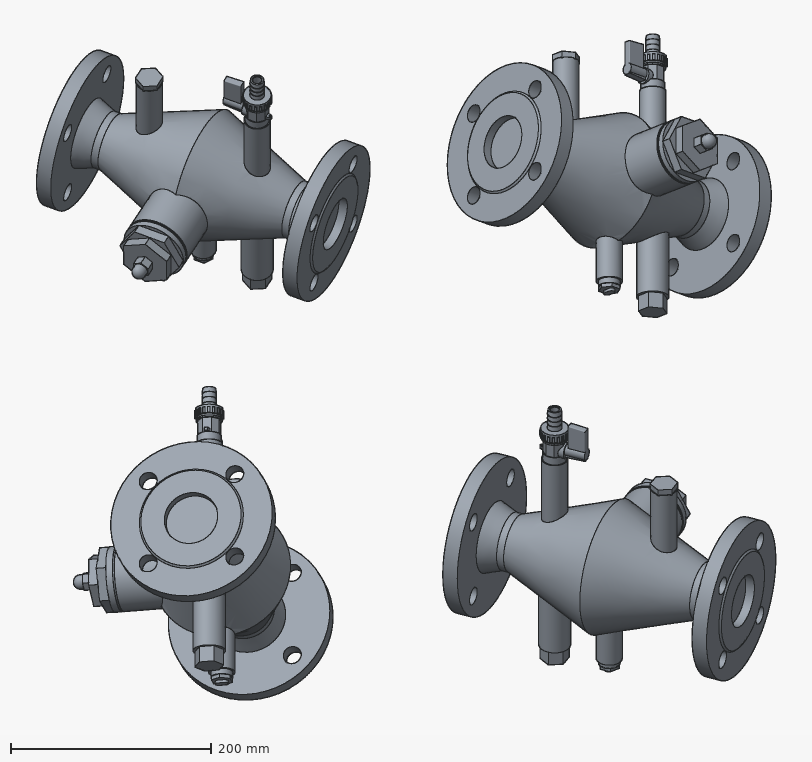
import cadquery as cq
import math


HEX_SIDES = 6
HEX_HALF_TURN = 180 / HEX_SIDES
OCTAGON_SIDES = 8
OCTAGON_HALF_TURN = 180 / OCTAGON_SIDES

LENGTH = 294.0
RAISED_FACE_H = 1.93
RAISED_FACE_BASE_D = 106.2
RAISED_FACE_TOP_D = 102.3
FLANGE_D = 165.0
FLANGE_T = 16.0
HUB_D = 75.0
NECK_D = 60.5
NECK_OUTER_X = 110.0
NECK_INNER_X = 102.3
BELLY_D = 140.5
PORT_D = 54.5
PORT_DEPTH = 9.5
BOLT_HOLE_D = 18.0
BOLT_CIRCLE_D = 125.0
BOLT_COUNT = 4

BOSS_D = 66.0
BOSS_END = 103.0
BOSS_GROOVE_W = 1.8
BOSS_GROOVE_DEPTH = 1.0
COLLAR_END = 111.5
LARGE_HEX_END = 121.3
MIDDLE_HEX_END = 131.0
MIDDLE_HEX_FLATS = 48.0
SMALL_HEX_END = 140.7
SMALL_HEX_FLATS = 16.5
DOME_D = 15.0
OVERALL_WIDTH = 234.0
DOME_END = OVERALL_WIDTH - FLANGE_D / 2

POST_D = 26.5
POST_X = 60.0
PLUG_POST_TOP = 111.0
PLUG_FLATS = 24.0
PLUG_BOTTOM = 110.0
PLUG_TOP = 117.2
COCK_POST_TOP = 113.3
LOWER_POSTS_BOTTOM = -109.0
DRAIN_POST_D = 32.5
DRAIN_HEX_FLATS = 25.5
DRAIN_HEX_BOTTOM = -125.2
VENT_SHOULDER_D = 22.0
VENT_SHOULDER_BOTTOM = -114.5
VENT_HEX_BOTTOM = -118.5
VENT_TIP_L = 13.5
VENT_TIP_W = 7.0
VENT_TIP_BOTTOM = -121.3

COCK_BASE_D = 24.0
COCK_BASE_TOP = 122.0
OCTAGON_FLATS = 22.0
OCTAGON_TOP = 137.5
COCK_FLANGE_D = 26.2
COCK_FLANGE_TOP = 139.2
COCK_NECK_D = 25.0
NUT_BOTTOM = 141.3
NUT_D = 28.0
NUT_TOP = 150.2
KNURL_COUNT = 18
KNURL_TIP_D = 29.7
KNURL_W = 2.5
KNURL_TOP = 147.5
HOSE_TOP = 172.2
HOSE_NECK_D = 13.5
HOSE_BARB_D = 15.0
BARB_LAND = 1.0
HOSE_BORE_D = 9.0
HOSE_MOUTH_D = 10.0
BARB_COUNT = 4
STEM_Z = 126.0
STEM_BOSS_D = 16.7
STEM_BOSS_X = 46.7
HANDLE_LEFT_X = 24.7
HANDLE_PLATE_RIGHT_X = 43.7
HANDLE_PLATE_W = 7.7
HANDLE_BOTTOM = 120.5
HANDLE_TOP = 158.2
HANDLE_DRAFT = 1.2
HANDLE_EDGE_R = 1.0
BARREL_D = 12.0
BARREL_Z = 127.5
LUG_TIP_D = 4.0
LUG_HOLE_D = 2.0
LUG_REACH = 16.0
LUG_ROOT_W = 15.0
LUG_BOTTOM = COCK_BASE_TOP
LUG_T = 3.3


def cylinder_z(diameter, bottom, top, x):
    """Vertical cylinder at the place x on the pipe axis."""
    return cq.Workplane("XY", origin=(x, 0, bottom)).circle(diameter / 2).extrude(top - bottom)


def prism_z(sides, flats, bottom, top, x, turn):
    """Vertical regular prism; turn is the angle of one corner from the X axis."""
    corner_d = flats / math.cos(math.pi / sides)
    prism = cq.Workplane("XY").polygon(sides, corner_d).extrude(top - bottom)
    return prism.rotate((0, 0, 0), (0, 0, 1), turn).translate((x, 0, bottom))


def cylinder_y(diameter, start, end):
    """Cylinder on the boss axis, between two distances towards -Y."""
    return cq.Workplane("XZ", origin=(0, -start, 0)).circle(diameter / 2).extrude(end - start)


def hex_y(flats, start, end, turn):
    """Hexagon on the boss axis; turn is the angle of one corner from the X axis."""
    corner_d = flats / math.cos(math.pi / HEX_SIDES)
    prism = cq.Workplane("XZ", origin=(0, -start, 0)).polygon(HEX_SIDES, corner_d).extrude(end - start)
    return prism.rotate((0, 0, 0), (0, 1, 0), turn)


def flanged_pipe():
    """Double-cone pipe with weld-neck flanges and a blind round port at each end."""
    half = LENGTH / 2
    flange_outer = half - RAISED_FACE_H
    flange_inner = flange_outer - FLANGE_T
    right_outline = [
        (0, BELLY_D / 2),
        (NECK_INNER_X, NECK_D / 2),
        (NECK_OUTER_X, NECK_D / 2),
        (flange_inner, HUB_D / 2),
        (flange_inner, FLANGE_D / 2),
        (flange_outer, FLANGE_D / 2),
        (flange_outer, RAISED_FACE_BASE_D / 2),
        (half, RAISED_FACE_TOP_D / 2),
        (half, 0),
    ]
    right_half = (
        cq.Workplane("XY").moveTo(0, 0).polyline(right_outline, includeCurrent=True).close()
        .revolve(360, (0, 0, 0), (1, 0, 0))
    )
    port = cq.Workplane("YZ", origin=(half - PORT_DEPTH, 0, 0)).circle(PORT_D / 2).extrude(PORT_DEPTH)
    bolt_holes = (
        cq.Workplane("YZ", origin=(flange_inner, 0, 0))
        .polarArray(BOLT_CIRCLE_D / 2, 180 / BOLT_COUNT, 360, BOLT_COUNT)
        .circle(BOLT_HOLE_D / 2).extrude(FLANGE_T)
    )
    right_half = right_half.cut(port).cut(bolt_holes)
    return right_half.union(right_half.mirror("YZ"))


def access_boss():
    groove_end = BOSS_END + BOSS_GROOVE_W
    groove_d = BOSS_D - 2 * BOSS_GROOVE_DEPTH
    boss = cylinder_y(BOSS_D, 0, BOSS_END)
    boss = boss.union(cylinder_y(groove_d, BOSS_END, groove_end))
    boss = boss.union(cylinder_y(BOSS_D, groove_end, COLLAR_END))
    large_hex_flats = BOSS_D * math.cos(math.pi / HEX_SIDES)
    boss = boss.union(hex_y(large_hex_flats, COLLAR_END, LARGE_HEX_END, 0))
    boss = boss.union(hex_y(MIDDLE_HEX_FLATS, LARGE_HEX_END, MIDDLE_HEX_END, HEX_HALF_TURN))
    boss = boss.union(hex_y(SMALL_HEX_FLATS, MIDDLE_HEX_END, SMALL_HEX_END, HEX_HALF_TURN))
    dome_center = DOME_END - DOME_D / 2
    boss = boss.union(cylinder_y(DOME_D, SMALL_HEX_END, dome_center))
    return boss.union(cq.Workplane("XY", origin=(0, -dome_center, 0)).sphere(DOME_D / 2))


def plug_post():
    post = cylinder_z(POST_D, 0, PLUG_POST_TOP, -POST_X)
    return post.union(prism_z(HEX_SIDES, PLUG_FLATS, PLUG_BOTTOM, PLUG_TOP, -POST_X, HEX_HALF_TURN))


def drain_post():
    post = cylinder_z(DRAIN_POST_D, LOWER_POSTS_BOTTOM, 0, POST_X)
    hexagon = prism_z(
        HEX_SIDES, DRAIN_HEX_FLATS, DRAIN_HEX_BOTTOM, LOWER_POSTS_BOTTOM, POST_X, HEX_HALF_TURN
    )
    return post.union(hexagon)


def vent_post():
    hex_flats = VENT_SHOULDER_D * math.cos(math.pi / HEX_SIDES)
    post = cylinder_z(POST_D, LOWER_POSTS_BOTTOM, 0, 0)
    post = post.union(cylinder_z(VENT_SHOULDER_D, VENT_SHOULDER_BOTTOM, LOWER_POSTS_BOTTOM, 0))
    post = post.union(prism_z(HEX_SIDES, hex_flats, VENT_HEX_BOTTOM, VENT_SHOULDER_BOTTOM, 0, 0))
    tip = (
        cq.Workplane("XY", origin=(0, 0, VENT_TIP_BOTTOM)).slot2D(VENT_TIP_L, VENT_TIP_W, 90)
        .extrude(VENT_HEX_BOTTOM - VENT_TIP_BOTTOM)
    )
    return post.union(tip)


def make_housing():
    housing = flanged_pipe().union(access_boss())
    housing = housing.union(plug_post()).union(drain_post()).union(vent_post())
    return housing.union(cylinder_z(POST_D, 0, COCK_POST_TOP, POST_X))


def cock_body():
    body = cylinder_z(COCK_BASE_D, COCK_POST_TOP, COCK_BASE_TOP, POST_X)
    octagon = prism_z(
        OCTAGON_SIDES, OCTAGON_FLATS, COCK_BASE_TOP, OCTAGON_TOP, POST_X, OCTAGON_HALF_TURN
    )
    body = body.union(octagon)
    body = body.union(cylinder_z(COCK_FLANGE_D, OCTAGON_TOP, COCK_FLANGE_TOP, POST_X))
    return body.union(cylinder_z(COCK_NECK_D, COCK_FLANGE_TOP, NUT_BOTTOM, POST_X))


def knurled_nut():
    """Cap nut with grip ribs around its lower part; one rib points to +Y."""
    nut = cylinder_z(NUT_D, NUT_BOTTOM, NUT_TOP, POST_X)
    rib_size = (KNURL_W, KNURL_TIP_D / 2, KNURL_TOP - NUT_BOTTOM)
    rib = cq.Workplane("XY").box(*rib_size, centered=(True, False, False))
    for i in range(KNURL_COUNT):
        turned_rib = rib.rotate((0, 0, 0), (0, 0, 1), i * 360 / KNURL_COUNT)
        nut = nut.union(turned_rib.translate((POST_X, 0, NUT_BOTTOM)))
    return nut


def hose_tail():
    """Hollow tail with saw-tooth barbs that widen downwards."""
    pitch = (HOSE_TOP - NUT_TOP) / BARB_COUNT
    neck_r = HOSE_NECK_D / 2
    barb_r = HOSE_BARB_D / 2
    bore_r = HOSE_BORE_D / 2
    mouth_r = HOSE_MOUTH_D / 2
    mouth_depth = mouth_r - bore_r
    outline = cq.Workplane("XZ").moveTo(bore_r, NUT_TOP)
    for i in range(BARB_COUNT):
        barb_bottom = NUT_TOP + i * pitch
        outline = outline.lineTo(barb_r, barb_bottom).lineTo(barb_r, barb_bottom + BARB_LAND)
        outline = outline.lineTo(neck_r, barb_bottom + pitch)
    outline = outline.lineTo(mouth_r, HOSE_TOP).lineTo(bore_r, HOSE_TOP - mouth_depth)
    tail = outline.close().revolve(360, (0, 0, 0), (0, 1, 0))
    return tail.translate((POST_X, 0, 0))


def handle():
    """Drafted grip plate with a barrel along its lower edge, on a round stem boss."""
    barrel_length = STEM_BOSS_X - HANDLE_LEFT_X
    barrel = (
        cq.Workplane("YZ", origin=(HANDLE_LEFT_X, 0, BARREL_Z)).circle(BARREL_D / 2)
        .extrude(barrel_length)
    )
    barrel_bottom = BARREL_Z - BARREL_D / 2
    barrel_clip_z = BARREL_Z - math.sqrt(BARREL_D ** 2 - HANDLE_PLATE_W ** 2) / 2
    clip_size = (barrel_length, BARREL_D, barrel_clip_z - barrel_bottom)
    barrel_clip = (
        cq.Workplane("XY", origin=(HANDLE_LEFT_X, 0, barrel_bottom))
        .box(*clip_size, centered=(False, True, False))
    )
    plate_outline = [
        (HANDLE_LEFT_X, HANDLE_BOTTOM + HANDLE_DRAFT),
        (STEM_BOSS_X, HANDLE_BOTTOM),
        (STEM_BOSS_X, BARREL_Z),
        (HANDLE_PLATE_RIGHT_X, BARREL_Z),
        (HANDLE_PLATE_RIGHT_X, HANDLE_TOP),
        (HANDLE_LEFT_X, HANDLE_TOP - HANDLE_DRAFT),
    ]
    plate = (
        cq.Workplane("XZ").polyline(plate_outline).close().extrude(HANDLE_PLATE_W / 2, both=True)
        .faces("<X or >Z").edges("not |Y").fillet(HANDLE_EDGE_R)
    )
    stem_boss = (
        cq.Workplane("YZ", origin=(STEM_BOSS_X, 0, STEM_Z)).circle(STEM_BOSS_D / 2)
        .extrude(POST_X - STEM_BOSS_X)
    )
    return barrel.cut(barrel_clip).union(plate).union(stem_boss)


def sealing_lug():
    """Tapered lug with a rounded tip and a small wire hole."""
    tip_r = LUG_TIP_D / 2
    tip_x = LUG_REACH - tip_r
    lug = (
        cq.Workplane("XY").moveTo(0, -LUG_ROOT_W / 2).lineTo(tip_x, -tip_r)
        .threePointArc((LUG_REACH, 0), (tip_x, tip_r))
        .lineTo(0, LUG_ROOT_W / 2).close().extrude(LUG_T)
    )
    hole = cq.Workplane("XY").center(tip_x, 0).circle(LUG_HOLE_D / 2).extrude(LUG_T)
    return lug.cut(hole).translate((POST_X, 0, LUG_BOTTOM))


def make_drain_cock():
    cock = cock_body().union(knurled_nut()).union(hose_tail())
    return cock.union(handle()).union(sealing_lug())


housing = make_housing()
drain_cock = make_drain_cock()

result = cq.Compound.makeCompound([housing.val(), drain_cock.val()])